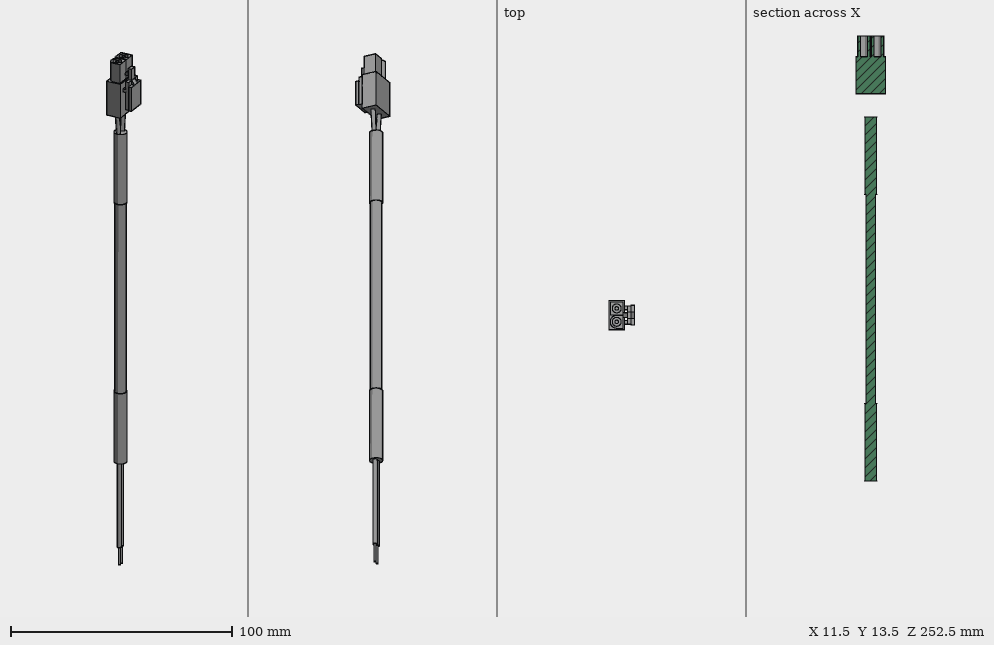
import cadquery as cq


tip_z = 0.0
insulation_bottom_z = 8.8
sleeve_bottom_z = 51.3
sleeve_length = 35.0
sleeve_top_z = 216.0
housing_bottom_z = 226.3
housing_top_z = 243.3
plug_top_z = 252.5

sleeve_dia = 6.0
jacket_dia = 5.3
wire_dia = 2.0
conductor_dia = 1.0
wire_overlap = 0.03
wire_y = (wire_dia - wire_overlap) / 2
wire_exit_y = 1.8
wire_entry_y = 3.0
wire_embed = 0.8

housing_x = 7.0
housing_y = 13.5
silo_width = 5.8
silo_gap = 0.3
silo_round_radius = 2.8
silo_y = (silo_width + silo_gap) / 2
contact_hole_dia = 4.0
contact_pin_dia = 1.6
contact_hole_depth = plug_top_z - housing_top_z

latch_width = 9.0
latch_plate_width = 8.3
latch_arm_width = 3.0
latch_inner_x = 4.8
latch_step_x = 6.5
latch_outer_x = 8.0
latch_bottom_z = 229.9
latch_pad_top_z = 241.7
latch_slope_top_z = 243.8
latch_top_z = 249.3
pivot_width = 1.8
pivot_height = 1.5
pivot_z = 239.2
tooth_width = 2.3
tooth_bottom_z = 245.5
tooth_nose_z = 246.3
tooth_top_z = 248.3


def rod(diameter, bottom_z, top_z, y=0):
    circle = cq.Workplane("XY", origin=(0, y, bottom_z)).circle(diameter / 2)
    return circle.extrude(top_z - bottom_z)


def block(x_min, x_max, y_center, y_size, z_min, z_max):
    size_x = x_max - x_min
    base = cq.Workplane("XY", origin=((x_min + x_max) / 2, y_center, z_min))
    return base.rect(size_x, y_size).extrude(z_max - z_min)


def xz_plate(points, width):
    """Extrude an XZ outline symmetrically about Y = 0."""
    return cq.Workplane("XZ").polyline(points).close().extrude(width / 2, both=True)


def make_cable():
    cable = rod(jacket_dia, sleeve_bottom_z, sleeve_top_z)
    for bottom_z in (sleeve_bottom_z, sleeve_top_z - sleeve_length):
        cable = cable.union(rod(sleeve_dia, bottom_z, bottom_z + sleeve_length))
    for side in (-1, 1):
        cable = cable.union(rod(conductor_dia, tip_z, sleeve_bottom_z, side * wire_y))
        cable = cable.union(rod(wire_dia, insulation_bottom_z, sleeve_bottom_z, side * wire_y))
        cable = cable.union(make_splayed_wire(side))
    return cable


def make_splayed_wire(side):
    """Wire spreading outward from the sleeve to its contact in the housing."""
    bottom_z = sleeve_top_z - wire_embed
    top_z = housing_bottom_z + wire_embed
    lower = cq.Workplane("XY", origin=(0, side * wire_exit_y, bottom_z)).circle(wire_dia / 2)
    offset_y = side * (wire_entry_y - wire_exit_y)
    return lower.workplane(offset=top_z - bottom_z).center(0, offset_y).circle(wire_dia / 2).loft()


def make_silo(y):
    return block(-silo_width / 2, silo_width / 2, y, silo_width, housing_top_z, plug_top_z)


def make_plug():
    plug = block(-housing_x / 2, housing_x / 2, 0, housing_y, housing_bottom_z, housing_top_z)
    square_silo = make_silo(silo_y)
    keyed_silo = make_silo(-silo_y).edges("|Z and <X").fillet(silo_round_radius)
    plug = plug.union(square_silo).union(keyed_silo)
    for y in (-silo_y, silo_y):
        plug = plug.cut(rod(contact_hole_dia, plug_top_z - contact_hole_depth, plug_top_z, y))
        plug = plug.union(rod(contact_pin_dia, housing_bottom_z, plug_top_z, y))
    return plug


def make_latch():
    arm = xz_plate(
        [
            (latch_inner_x, latch_pad_top_z),
            (latch_outer_x, latch_pad_top_z),
            (latch_step_x, latch_slope_top_z),
            (latch_step_x, latch_top_z),
            (latch_inner_x, latch_top_z),
        ],
        latch_arm_width,
    )
    plate = block(latch_inner_x, latch_step_x, 0, latch_plate_width, latch_bottom_z, latch_slope_top_z)
    pad = block(latch_step_x, latch_outer_x, 0, latch_width, latch_bottom_z, latch_pad_top_z)
    tooth = xz_plate(
        [
            (latch_inner_x, tooth_bottom_z),
            (latch_inner_x, tooth_top_z),
            (silo_width / 2, tooth_nose_z),
            (silo_width / 2, tooth_bottom_z),
        ],
        tooth_width,
    )
    latch = arm.union(plate).union(pad).union(tooth)
    pivot_y = (latch_plate_width - pivot_width) / 2
    pivot_bottom_z = pivot_z - pivot_height / 2
    pivot_top_z = pivot_bottom_z + pivot_height
    for y in (-pivot_y, pivot_y):
        pivot = block(housing_x / 2, latch_inner_x, y, pivot_width, pivot_bottom_z, pivot_top_z)
        latch = latch.union(pivot)
    return latch


result = make_cable().union(make_plug()).union(make_latch())